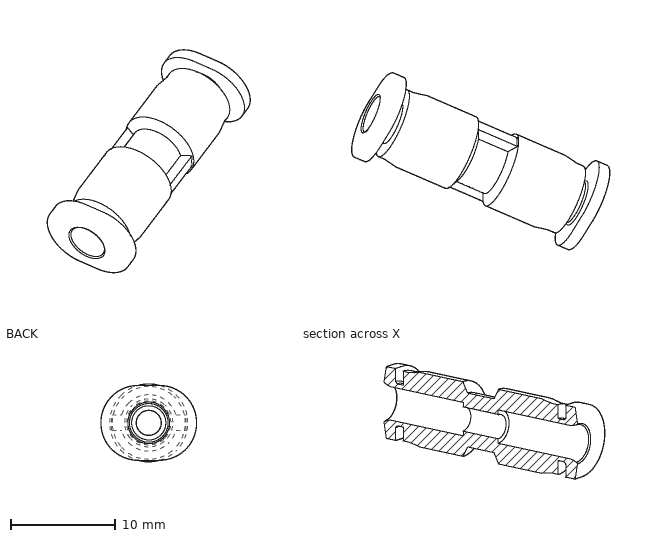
import cadquery as cq
import math

length = 23.8
half_length = length / 2

flange_width = 9.2
flange_height = 7.2
crown_height = 0.29
flange_depth = 1.48
rim_fillet = 0.12
rim_search_margin = 0.02
neck_diameter = 4.24
neck_chamfer = 0.2

body_diameter = 7.5
nose_diameter = 7.0
gap_width = 0.9
nose_length = 0.71
taper_length = 1.35
sleeve_length = 5.28

waist_diameter = 5.43
shoulder_length = 0.57
rib_width = 7.15
rib_thickness = 1.5

mouth_radius = 2.0
mouth_chamfer = 0.15
socket_radius = 1.65
lead_in_depth = 0.8
bore_diameter = 2.38

crown_base_y = half_length - crown_height
flange_back_y = half_length - flange_depth
nose_y = flange_back_y - gap_width
taper_y = nose_y - nose_length
sleeve_y = taper_y - taper_length
shoulder_y = sleeve_y - sleeve_length
waist_y = shoulder_y - shoulder_length


def revolve_about_axis(half_profile):
    """Revolve (radius, y) points about the Y axis."""
    return cq.Workplane("XY").polyline(half_profile).close().revolve(360, (0, 0, 0), (0, 1, 0))


def face_plane(y):
    """Plane facing -Y at the given position, with local axes along X and Z."""
    return cq.Workplane("XZ", origin=(0, y, 0))


def make_body_half():
    """Neck, sleeve, shoulder and waist on the +Y half."""
    neck_radius = neck_diameter / 2
    nose_radius = nose_diameter / 2
    body_radius = body_diameter / 2
    waist_radius = waist_diameter / 2
    return revolve_about_axis([
        (0, 0),
        (waist_radius, 0),
        (waist_radius, waist_y),
        (body_radius, shoulder_y),
        (body_radius, sleeve_y),
        (nose_radius, taper_y),
        (nose_radius, nose_y),
        (neck_radius, nose_y),
        (neck_radius, flange_back_y - neck_chamfer),
        (neck_radius + neck_chamfer, flange_back_y),
        (0, flange_back_y),
    ])


def make_flange():
    """Obround plate on the -Y end whose face rises gently to the round mouth."""
    end_radius = flange_height / 2
    flat_half = flange_width / 2 - end_radius
    split_angle = math.atan2(flat_half, end_radius)
    split_x = mouth_radius * math.sin(split_angle)
    split_z = mouth_radius * math.cos(split_angle)

    plate = (
        face_plane(-flange_back_y)
        .slot2D(flange_width, flange_height)
        .extrude(crown_base_y - flange_back_y)
    )
    crown = (
        face_plane(-crown_base_y)
        .moveTo(-flat_half, end_radius)
        .lineTo(flat_half, end_radius)
        .threePointArc((flange_width / 2, 0), (flat_half, -end_radius))
        .lineTo(-flat_half, -end_radius)
        .threePointArc((-flange_width / 2, 0), (-flat_half, end_radius))
        .close()
        .workplane(offset=crown_height)
        .moveTo(-split_x, split_z)
        .threePointArc((0, mouth_radius), (split_x, split_z))
        .threePointArc((mouth_radius, 0), (split_x, -split_z))
        .threePointArc((0, -mouth_radius), (-split_x, -split_z))
        .threePointArc((-mouth_radius, 0), (-split_x, split_z))
        .close()
        .loft(ruled=True)
    )
    rim = cq.selectors.BoxSelector(
        (-flange_width, -crown_base_y - rim_search_margin, -flange_height),
        (flange_width, -crown_base_y + rim_search_margin, flange_height),
    )
    return plate.union(crown).edges(rim).fillet(rim_fillet)


def make_socket():
    """Tube socket at the +Y end with a chamfered mouth and tapered lead-in, ending at the shoulder."""
    lead_in_radius = mouth_radius - mouth_chamfer
    return revolve_about_axis([
        (0, half_length),
        (mouth_radius, half_length),
        (lead_in_radius, half_length - mouth_chamfer),
        (socket_radius, half_length - lead_in_depth),
        (socket_radius, shoulder_y),
        (0, shoulder_y),
    ])


def both_ends(end_feature):
    """Join a feature with its mirror image at the other end."""
    return end_feature.union(end_feature.mirror("XZ"))


ribs = cq.Workplane("XY").box(rib_width, 2 * shoulder_y, rib_thickness)
bore = face_plane(half_length).circle(bore_diameter / 2).extrude(length)

result = (
    both_ends(make_body_half())
    .union(ribs)
    .union(both_ends(make_flange()))
    .cut(both_ends(make_socket()))
    .cut(bore)
)